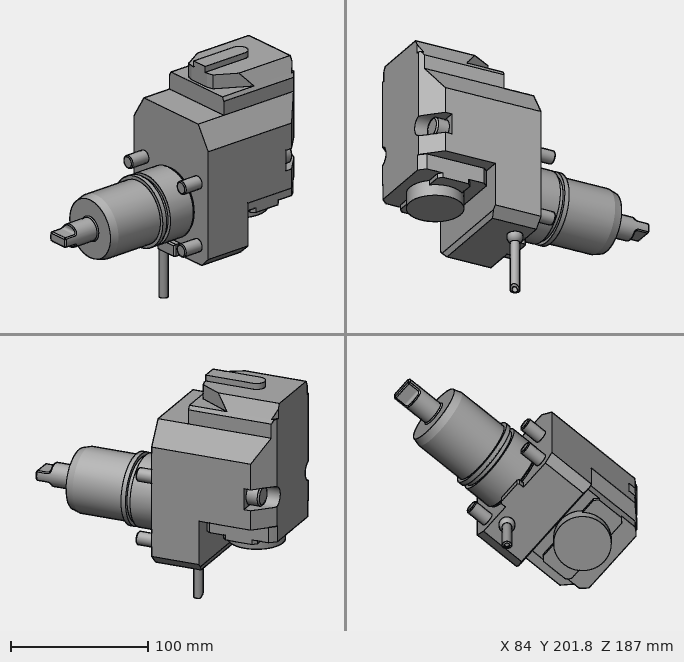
import cadquery as cq
import math


half_width = 42.0
back_y = 93.8
top_z = 71.6
bottom_z = -39.8
head_bottom_z = 1.6
leg_back_y = 38.0
shoulder_z = 53.5
foot_chamfer = 7.3
back_chamfer = 14.5
leg_relief_depth = 1.6
leg_relief_height = 4.6

slab_half_width = 30.7
slab_front_y = 24.5
slab_edge_z = 82.7
slab_top_z = 85.8
cap_half_base = 29.0
cap_half_top = 23.5
cap_top_z = 96.9
cap_front_y = 27.0
cap_nose_half = 8.9
cap_nose_corner = (13.7, 28.5)
cap_side_front_y = 54.5
cap_corner_reach = 119.3
rail_width = 13.0
rail_back_y = 71.5
rail_top_z = 101.5

screw_x = 30.0
screw_z = 25.0
screw_diameter = 10.0
screw_tip_y = -16.0
screw_tip_chamfer = 0.8
head_diameter = 16.0
head_seat_y = 73.9
head_top_y = 84.0
head_edge_chamfer = 1.2
head_pocket_diameter = 16.3

neck_radius = 26.2
neck_end_y = -1.0
collar_start_y = -2.0
collar_diameter = 55.0
collar_end_y = -23.8
shank_diameter = 49.6
ring_start_y = -27.5
ring_end_y = -31.0
taper_start_y = -70.8
taper_radius = 23.0
shank_end_y = -77.0

shaft_diameter = 18.0
shaft_root_diameter = 19.5
shaft_root_length = 1.0
shaft_end_y = -96.9
tang_thickness = 7.9
tang_end_y = -108.0
tang_edge_chamfer = 0.8
tang_end_chamfer = 1.0
tang_root_radius = 2.0

key_width = 20.2
key_height = 9.5
key_depth = 5.0
key_chamfer = 1.2

nose_y = 65.0
nose_diameter = 42.0
nose_bottom_z = -23.0
plate_radius = 39.1
plate_half_width = 31.3
plate_bottom_z = -10.7
tenon_bottom_z = -14.3
tenon_width = 21.0
tenon_root_width = 27.0
tenon_flare = 3.0

tube_x = -19.5
tube_y = 9.5
tube_diameter = 7.0
tube_bore = 4.0
tube_bore_depth = 4.0
tube_bottom_z = -85.5
tube_cut_height = 4.0
ball_diameter = 12.0
ball_z = -41.4


def box(x_range, y_range, z_range):
    """Box given by its lower and upper limit along each axis."""
    spans = [high - low for low, high in (x_range, y_range, z_range)]
    origin = (x_range[0], y_range[0], z_range[0])
    return cq.Workplane("XY").box(*spans, centered=False).translate(origin)


def rod_along_y(diameter, y_start, y_end, x=0, z=0):
    """Cylinder parallel to Y that runs forward from y_start to y_end."""
    plane = cq.Workplane("XZ", origin=(x, y_start, z))
    return plane.circle(diameter / 2).extrude(y_start - y_end)


def plan_prism(points, z_low, z_high):
    """Prism with a plan outline in X and Y."""
    return cq.Workplane("XY", origin=(0, 0, z_low)).polyline(points).close().extrude(z_high - z_low)


def front_prism(half_outline, y_front, y_back):
    """Prism along Y, symmetric about X = 0; the outline gives its +X half as (x, z)."""
    mirrored = [(-x, z) for x, z in reversed(half_outline)]
    plane = cq.Workplane("XZ", origin=(0, y_back, 0))
    return plane.polyline(half_outline + mirrored).close().extrude(y_back - y_front)


def corner_trim(reach):
    """Tall prism that keeps what lies inside |x| + y = reach."""
    plan = [(-reach, 0), (reach, 0), (0, reach)]
    return plan_prism(plan, bottom_z, rail_top_z)


def make_body():
    block = front_prism(
        [
            (half_width - foot_chamfer, bottom_z),
            (half_width, bottom_z + foot_chamfer),
            (half_width, shoulder_z),
            (slab_half_width, top_z),
        ],
        0,
        back_y,
    )
    slab = front_prism(
        [
            (slab_half_width, top_z),
            (slab_half_width, slab_edge_z),
            (cap_half_base, slab_top_z),
        ],
        slab_front_y,
        back_y,
    )
    under_head = box((-half_width, half_width), (leg_back_y, back_y), (bottom_z, head_bottom_z))
    leg_relief = (
        cq.Workplane("YZ", origin=(-half_width, 0, 0))
        .moveTo(leg_back_y, bottom_z)
        .lineTo(leg_back_y - leg_relief_depth, bottom_z)
        .lineTo(leg_back_y, bottom_z + leg_relief_height)
        .close()
        .extrude(2 * half_width)
    )
    body = block.union(slab).cut(under_head).cut(leg_relief)
    return body.intersect(corner_trim(half_width + back_y - back_chamfer))


def make_cap():
    cap = front_prism([(cap_half_base, slab_top_z), (cap_half_top, cap_top_z)], cap_front_y, back_y)
    half_plan = [
        (cap_nose_half, cap_front_y),
        cap_nose_corner,
        (cap_half_base, cap_side_front_y),
        (cap_half_base, cap_corner_reach - cap_half_base),
        (cap_corner_reach - back_y, back_y),
    ]
    plan = half_plan + [(-x, y) for x, y in reversed(half_plan)]
    cap = cap.intersect(plan_prism(plan, slab_top_z, cap_top_z))

    rail_end_y = rail_back_y - rail_width / 2
    rail = (
        cq.Workplane("XY", origin=(0, 0, slab_top_z))
        .moveTo(-rail_width / 2, cap_front_y)
        .lineTo(rail_width / 2, cap_front_y)
        .lineTo(rail_width / 2, rail_end_y)
        .threePointArc((0, rail_back_y), (-rail_width / 2, rail_end_y))
        .close()
        .extrude(rail_top_z - slab_top_z)
    )
    return cap.union(rail)


def make_spindle():
    """Shank, collar, ring and drive shaft turned from one (radius, y) profile, with a flat tang."""
    shank_radius = shank_diameter / 2
    collar_radius = collar_diameter / 2
    shaft_radius = shaft_diameter / 2
    profile = [
        (0, 0),
        (neck_radius, 0),
        (neck_radius, neck_end_y),
        (collar_radius, collar_start_y),
        (collar_radius, collar_end_y),
        (shank_radius, collar_end_y),
        (shank_radius, ring_start_y),
        (collar_radius, ring_start_y),
        (collar_radius, ring_end_y),
        (shank_radius, ring_end_y),
        (shank_radius, taper_start_y),
        (taper_radius, shank_end_y),
        (shaft_root_diameter / 2, shank_end_y),
        (shaft_radius, shank_end_y - shaft_root_length),
        (shaft_radius, tang_end_y),
        (0, tang_end_y),
    ]
    turned = cq.Workplane("XY").polyline(profile).close().revolve(360, (0, 0, 0), (0, 1, 0))
    for side in (-1, 1):
        turned = turned.cut(make_tang_cutter(side))
    flat_edges = cq.selectors.BoxSelector(
        (-shaft_radius, tang_end_y, -shaft_radius),
        (shaft_radius, shaft_end_y + tang_edge_chamfer, shaft_radius),
    )
    turned = turned.edges(flat_edges - cq.StringSyntaxSelector("|X") - cq.StringSyntaxSelector("<Y"))
    return turned.chamfer(tang_edge_chamfer).faces("<Y").chamfer(tang_end_chamfer)


def make_tang_cutter(side):
    """Block that leaves one flat of the tang, with a rounded inner corner at the tang root."""
    flat_z = tang_thickness / 2
    shaft_radius = shaft_diameter / 2
    cutter = box((-shaft_radius, shaft_radius), (tang_end_y, shaft_end_y), (flat_z, shaft_radius + flat_z))
    cutter = cutter.edges(">Y and <Z").fillet(tang_root_radius)
    return cutter if side > 0 else cutter.mirror("XY")


def make_key():
    key = box((-key_width / 2, key_width / 2), (-key_depth, 0), (bottom_z, bottom_z + key_height))
    front_rim = key.faces("<Y").edges("|Z or >Z")
    return front_rim.chamfer(key_chamfer)


def make_screw_tip(x, z):
    return rod_along_y(screw_diameter, 0, screw_tip_y, x, z).faces("<Y").chamfer(screw_tip_chamfer)


def make_head_pocket(side):
    """Screw-head pocket, open to the back and to the side of the body."""
    x = side * screw_x
    outer_x = side * half_width
    radius = head_pocket_diameter / 2
    bore = rod_along_y(head_pocket_diameter, back_y, head_seat_y, x, screw_z)
    side_slot = box(
        (min(x, outer_x), max(x, outer_x)),
        (head_seat_y, back_y),
        (screw_z - radius, screw_z + radius),
    )
    return bore.union(side_slot)


def make_screw_head(side):
    head = rod_along_y(head_diameter, head_top_y, head_seat_y, side * screw_x, screw_z)
    return head.faces(">Y").chamfer(head_edge_chamfer)


def make_nose():
    """Clamping plate, side tenons and round nose below the head."""
    plate_disc = (
        cq.Workplane("XY", origin=(0, nose_y, plate_bottom_z))
        .circle(plate_radius)
        .extrude(head_bottom_z - plate_bottom_z)
    )
    plate = plate_disc.intersect(
        box((-plate_half_width, plate_half_width), (leg_back_y, back_y), (plate_bottom_z, head_bottom_z))
    )
    half_face = tenon_width / 2
    half_root = tenon_root_width / 2
    root_x = plate_half_width - tenon_flare
    tenon_plan = [
        (plate_half_width, nose_y - half_face),
        (plate_half_width, nose_y + half_face),
        (root_x, nose_y + half_root),
        (-root_x, nose_y + half_root),
        (-plate_half_width, nose_y + half_face),
        (-plate_half_width, nose_y - half_face),
        (-root_x, nose_y - half_root),
        (root_x, nose_y - half_root),
    ]
    tenons = plan_prism(tenon_plan, tenon_bottom_z, plate_bottom_z)
    nose = (
        cq.Workplane("XY", origin=(0, nose_y, nose_bottom_z))
        .circle(nose_diameter / 2)
        .extrude(plate_bottom_z - nose_bottom_z)
    )
    return plate.union(tenons).union(nose)


def make_coolant_tube():
    """Tube on a rounded fitting, with a hollow end cut obliquely at one corner."""
    tube_radius = tube_diameter / 2
    ball_radius = ball_diameter / 2
    ball_top_radius = math.sqrt(ball_radius**2 - (bottom_z - ball_z) ** 2)
    ball_end_z = ball_z - math.sqrt(ball_radius**2 - tube_radius**2)
    tube = (
        cq.Workplane("XZ")
        .moveTo(0, bottom_z)
        .lineTo(ball_top_radius, bottom_z)
        .threePointArc((ball_radius, ball_z), (tube_radius, ball_end_z))
        .lineTo(tube_radius, tube_bottom_z)
        .lineTo(0, tube_bottom_z)
        .close()
        .revolve(360, (0, 0, 0), (0, 1, 0))
    )
    bore = (
        cq.Workplane("XY", origin=(0, 0, tube_bottom_z)).circle(tube_bore / 2).extrude(tube_bore_depth)
    )
    wedge = (
        cq.Workplane("XZ", origin=(0, tube_diameter, 0))
        .moveTo(-tube_radius, tube_bottom_z + tube_cut_height)
        .lineTo(0, tube_bottom_z)
        .lineTo(-tube_radius, tube_bottom_z)
        .close()
        .extrude(2 * tube_diameter)
        .rotate((0, 0, 0), (0, 0, 1), -45)
    )
    return tube.cut(bore).cut(wedge).translate((tube_x, tube_y, 0))


result = make_body().union(make_cap())
for side in (-1, 1):
    result = result.cut(make_head_pocket(side)).union(make_screw_head(side))
    for level in (-1, 1):
        result = result.union(make_screw_tip(side * screw_x, level * screw_z))
for feature in (make_spindle(), make_key(), make_nose(), make_coolant_tube()):
    result = result.union(feature)